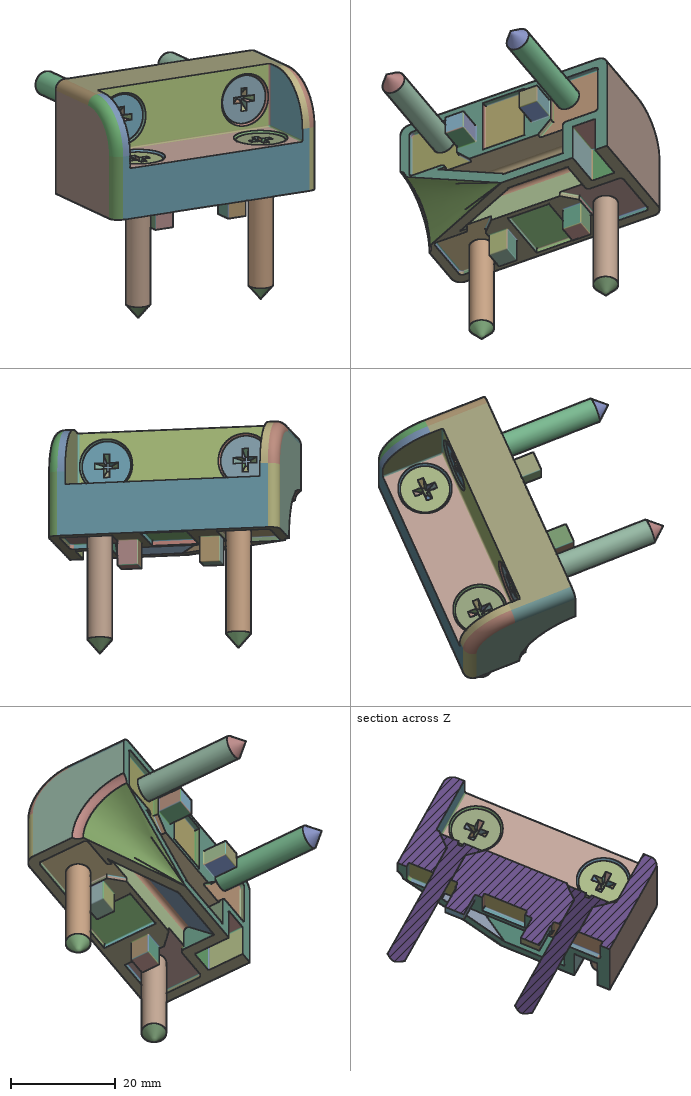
import cadquery as cq
import math

LENGTH = 45.0
SIDE = 22.5
CORNER_RADIUS = 10.0
EDGE_ROUND = 2.0
SMALL_ROUND = 0.2
MIRROR_NORMAL = cq.Vector(1, 0, -1)

SEAT = 10.0
POCKET_LENGTH = 38.0
POCKET_ROUND = 0.3

PEG_WIDTH = 4.0
PEG_LENGTH = 5.0
PEG_TOP = SIDE - 6.0
PEG_Y = 8.0

WALL = 2.0
RECESS_DEPTH = 1.0
RECESS_BOTTOM = 9.65
RECESS_INNER_Y = 10.2
RECESS_STEP_Y = 12.85
RECESS_BEVEL_TOP = 11.55
RECESS_CORNER = 0.7
WINDOW_WIDTH = 9.0
WINDOW_BOTTOM = 9.9
WINDOW_TOP = 21.5

CHANNEL_TOP = 8.8
CHANNEL_ROUND = 0.7
CHANNEL_BEND_Y = -0.22

NOTCH_WIDTH = 4.9
NOTCH_SIZE = 7.75
NOTCH_Y = -17.45
OVERCUT = 0.45

RELIEF_APEX_Y = 0.5
RELIEF_RADIUS = 10.4
RELIEF_ANGLE = math.atan(RELIEF_RADIUS / (LENGTH / 2 - RELIEF_APEX_Y))

SCREW_Y = 13.5
SCREW_OFFSET = SIDE - 6.5
SCREW_REACH = 22.0
SHANK_DIAMETER = 4.8
HEAD_DIAMETER = 9.5
HEAD_DROP = 0.4
TIP_LENGTH = 2.8
DRIVE_LENGTH = 4.55
DRIVE_WIDTH = 1.15
DRIVE_FLOOR_LENGTH = 1.7
DRIVE_FLOOR_WIDTH = 0.5
DRIVE_DEPTH = 1.5


def mirrored(body):
    """Reflect a body in the plane x = z, from one mounting face to the other."""
    return body.mirror(MIRROR_NORMAL)


def on_face(outline, depth):
    """Extrude a closed (y, z) outline from the x = 0 face into the block."""
    return cq.Workplane("YZ").polyline(outline).close().extrude(depth)


def make_block():
    """Quarter-rounded bar with its two end rims rounded."""
    block = (
        cq.Workplane("XZ", origin=(0, LENGTH / 2, 0))
        .lineTo(SIDE, 0)
        .lineTo(SIDE, SIDE - CORNER_RADIUS)
        .radiusArc((SIDE - CORNER_RADIUS, SIDE), -CORNER_RADIUS)
        .lineTo(0, SIDE)
        .close()
        .extrude(LENGTH)
    )
    rims = block.faces("<Y or >Y").edges("not(<X or <Z)")
    return block.newObject(rims.vals()).fillet(EDGE_ROUND)


def make_pocket():
    """Room for the screw heads, open to the top and the +X side."""
    size = SIDE - SEAT + OVERCUT
    pocket = cq.Workplane().box(size, POCKET_LENGTH, size, centered=(False, True, False))
    pocket = pocket.edges("<X or <Z").edges("not(>X or >Z)").fillet(POCKET_ROUND)
    return pocket.translate((SEAT, 0, SEAT))


def make_peg(y):
    """Peg standing out of the x = 0 face, with rounded edges and a flared foot."""
    foot = SMALL_ROUND
    peg = (
        cq.Workplane()
        .box(PEG_LENGTH, PEG_WIDTH, PEG_WIDTH)
        .edges("|X or <X")
        .fillet(SMALL_ROUND)
        .translate((-PEG_LENGTH / 2, y, PEG_TOP - PEG_WIDTH / 2))
    )
    base = cq.Workplane().box(foot, 2 * PEG_WIDTH, 2 * PEG_WIDTH)
    base = base.translate((foot / 2, y, PEG_TOP - PEG_WIDTH / 2))
    foot_edges = cq.selectors.BoxSelector(
        (-foot / 2, y - 0.6 * PEG_WIDTH, PEG_TOP - 1.1 * PEG_WIDTH),
        (foot / 2, y + 0.6 * PEG_WIDTH, PEG_TOP + 0.1 * PEG_WIDTH),
    )
    joined = base.union(peg)
    return joined.edges(foot_edges).fillet(SMALL_ROUND)


def make_recess():
    """Shallow recess around a screw, on the +Y side of the x = 0 face."""
    outer_y = LENGTH / 2 - WALL
    top = SIDE - WALL
    bevel = RECESS_BEVEL_TOP - CHANNEL_TOP
    recess = on_face(
        [
            (RECESS_INNER_Y, top),
            (outer_y, top),
            (outer_y, RECESS_BOTTOM),
            (RECESS_STEP_Y, RECESS_BOTTOM),
            (RECESS_STEP_Y, CHANNEL_TOP),
            (RECESS_INNER_Y - bevel, CHANNEL_TOP),
            (RECESS_INNER_Y, RECESS_BEVEL_TOP),
        ],
        RECESS_DEPTH,
    )
    step_edge = cq.selectors.NearestToPointSelector((RECESS_DEPTH / 2, RECESS_STEP_Y, RECESS_BOTTOM))
    recess = recess.edges("|X and >Y").fillet(RECESS_CORNER)
    recess = recess.edges(step_edge).fillet(RECESS_CORNER)
    return recess.faces(">X").edges("not <Z").fillet(SMALL_ROUND)


def make_window():
    """Shallow rectangular recess at mid-length."""
    half = WINDOW_WIDTH / 2
    window = on_face(
        [(-half, WINDOW_BOTTOM), (half, WINDOW_BOTTOM), (half, WINDOW_TOP), (-half, WINDOW_TOP)],
        RECESS_DEPTH,
    )
    return window.faces(">X").edges().fillet(SMALL_ROUND)


def make_channel():
    """Channel with a 45 degree floor; one end follows the slope of the relief."""
    height = CHANNEL_TOP - WALL
    run = height / math.tan(RELIEF_ANGLE)
    outline = on_face(
        [
            (-RECESS_STEP_Y, CHANNEL_TOP),
            (-RECESS_STEP_Y, WALL),
            (CHANNEL_BEND_Y, WALL),
            (CHANNEL_BEND_Y + run, CHANNEL_TOP),
        ],
        height,
    )
    wedge = (
        cq.Workplane("XZ")
        .polyline([(0, WALL), (height, CHANNEL_TOP), (0, CHANNEL_TOP)])
        .close()
        .extrude(LENGTH / 2, both=True)
        .edges(">X")
        .fillet(CHANNEL_ROUND)
    )
    return outline.intersect(wedge)


def make_notch():
    """Square notch across the corner edge."""
    size = NOTCH_SIZE + OVERCUT
    notch = cq.Workplane().box(size, NOTCH_WIDTH, size, centered=(False, True, False))
    notch = notch.faces(">X or >Z").edges().fillet(SMALL_ROUND)
    return notch.translate((-OVERCUT, NOTCH_Y, -OVERCUT))


def make_relief():
    """Cone about the corner edge, flared into the +Y end by a rounded rim."""
    end_y = LENGTH / 2
    tangent = EDGE_ROUND * math.tan((math.pi / 2 - RELIEF_ANGLE) / 2)
    blend_start = (
        RELIEF_RADIUS - tangent * math.sin(RELIEF_ANGLE),
        end_y - tangent * math.cos(RELIEF_ANGLE),
    )
    return (
        cq.Workplane("XY")
        .moveTo(0, RELIEF_APEX_Y)
        .lineTo(*blend_start)
        .radiusArc((RELIEF_RADIUS + tangent, end_y), -EDGE_ROUND)
        .lineTo(0, end_y)
        .close()
        .revolve(360, (0, 0), (0, 1))
    )


def make_screw_blank(y, mouth=0.0):
    """Pointed countersunk screw along -Z, without its drive.

    A mouth height carries a 45 degree cone on from the rim of the head, to shape the hole.
    """
    shank = SHANK_DIAMETER / 2
    head = HEAD_DIAMETER / 2
    head_top = SEAT - HEAD_DROP
    profile = [
        (0, -SCREW_REACH),
        (shank, TIP_LENGTH - SCREW_REACH),
        (shank, head_top - (head - shank)),
        (head + mouth, head_top + mouth),
        (0, head_top + mouth),
    ]
    blank = cq.Workplane("XZ").polyline(profile).close().revolve(360, (0, 0), (0, 1))
    return blank.translate((SCREW_OFFSET, y, 0))


def make_screw(y):
    """Screw with a tapered cross drive."""
    screw = make_screw_blank(y)
    arm = (
        cq.Workplane("XY")
        .rect(DRIVE_LENGTH, DRIVE_WIDTH)
        .workplane(offset=-DRIVE_DEPTH)
        .rect(DRIVE_FLOOR_LENGTH, DRIVE_FLOOR_WIDTH)
        .loft()
    )
    for turn in (0, 90):
        turned = arm.rotate((0, 0, 0), (0, 0, 1), turn)
        screw = screw.cut(turned.translate((SCREW_OFFSET, y, SEAT - HEAD_DROP)))
    return screw


def make_housing():
    housing = make_block().cut(make_pocket())
    recess = make_recess()
    additions = [make_peg(PEG_Y), make_peg(-PEG_Y)]
    cuts = [recess, recess.mirror("XZ"), make_window(), make_channel()]
    for screw_y in (-SCREW_Y, SCREW_Y):
        cuts.append(make_screw_blank(screw_y, mouth=HEAD_DROP))
    for peg in additions:
        housing = housing.union(peg).union(mirrored(peg))
    for cut in cuts:
        housing = housing.cut(cut).cut(mirrored(cut))
    return housing.cut(make_notch()).cut(make_relief())


housing = make_housing()
screws = []
for screw_y in (-SCREW_Y, SCREW_Y):
    screw = make_screw(screw_y)
    screws += [screw.val(), mirrored(screw).val()]

result = cq.Compound.makeCompound([housing.val(), *screws])